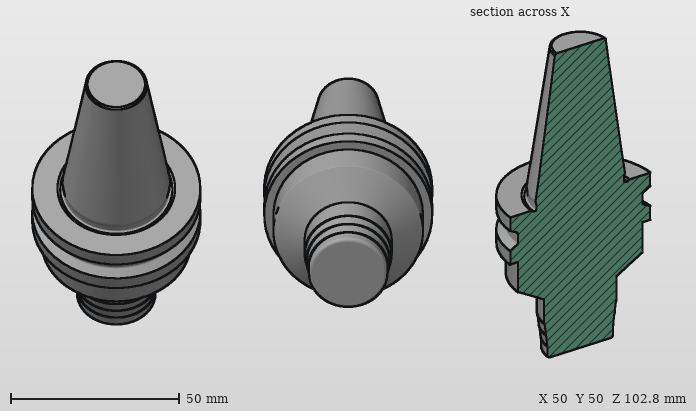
import cadquery as cq
import math

total_height = 102.8
nose_step_heights = (4.2, 8.2, 12.2)
nose_top = 20.4
body_bottom = 25.7
flange_bottom = 35.9
groove_lower_edge = 40.6
groove_floor_bottom = 42.1
groove_floor_top = 45.8
groove_upper_edge = 47.4
flange_top = 52.0
neck_top = 53.6
gauge_bottom = 54.5
gauge_top = 55.1

nose_end_radius = 11.7
nose_radius = 13.0
body_radius = 22.2
flange_radius = 25.0
groove_radius = 22.2
neck_radius = 15.7
gauge_radius = 15.9
taper_end_radius = 9.0

nose_fillet = 1.0
taper_chamfer = 0.5
nose_step_depth = 0.15
recess_radius = 17.5
recess_floor_radius = 16.7
recess_depth = 0.5
recess_root_fillet = 0.4
body_edge_fillet = 0.3
groove_root_fillet = 0.4
tolerance = 0.01


def nose_outline():
    """Outer points of the tapered nose, narrowing at each step towards the end face."""
    points = [(0, 0), (nose_end_radius, 0)]
    lowest, highest = nose_step_heights[0], nose_step_heights[-1]
    for height in nose_step_heights:
        fraction = (height - lowest) / (highest - lowest)
        step_radius = nose_end_radius + fraction * (nose_radius - nose_step_depth - nose_end_radius)
        points += [(step_radius, height), (step_radius + nose_step_depth, height)]
    return points + [(nose_radius, nose_top)]


def holder_body():
    """Complete holder revolved about the Z axis."""
    outline = nose_outline() + [
        (body_radius, body_bottom),
        (body_radius, flange_bottom),
        (flange_radius, flange_bottom),
        (flange_radius, groove_lower_edge),
        (groove_radius, groove_floor_bottom),
        (groove_radius, groove_floor_top),
        (flange_radius, groove_upper_edge),
        (flange_radius, flange_top),
        (recess_radius, flange_top),
        (recess_floor_radius, flange_top - recess_depth),
        (neck_radius, flange_top - recess_depth),
        (neck_radius, neck_top),
        (gauge_radius, gauge_bottom),
        (gauge_radius, gauge_top),
        (taper_end_radius, total_height),
        (0, total_height),
    ]
    return cq.Workplane("XZ").polyline(outline).close().revolve(360, (0, 0, 0), (0, 1, 0))


def fillet_circle(part, radius, height, size):
    """Round the circular edge of the given radius at the given height."""
    circles = part.edges("%CIRCLE").filter(
        lambda edge: math.isclose(edge.radius(), radius, abs_tol=tolerance)
        and math.isclose(edge.Center().z, height, abs_tol=tolerance)
    )
    return circles.fillet(size)


result = holder_body()
result = result.faces("<Z").edges().fillet(nose_fillet)
result = result.faces(">Z").edges().chamfer(taper_chamfer)
result = fillet_circle(result, body_radius, body_bottom, body_edge_fillet)
result = fillet_circle(result, groove_radius, groove_floor_bottom, groove_root_fillet)
result = fillet_circle(result, groove_radius, groove_floor_top, groove_root_fillet)
result = fillet_circle(result, neck_radius, flange_top - recess_depth, recess_root_fillet)